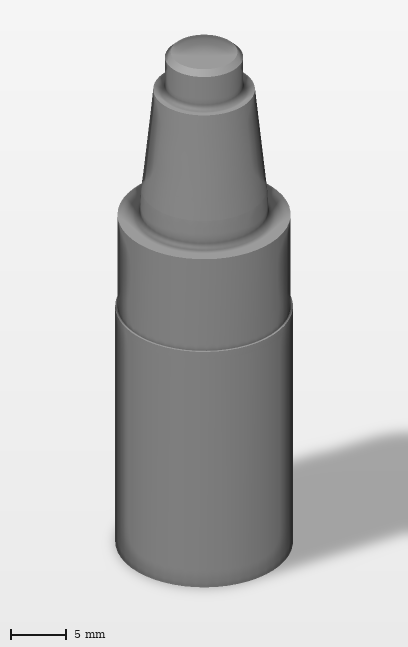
import cadquery as cq
import math

total_height = 51.1
barrel_radius = 15.9 / 2

barrel_top = 23.8
collar_top = 24.6
shank_top = 34.15
cone_base = 36.85
cone_top = 47.2

shank_radius = 15.5 / 2
cone_top_radius = 4.55
cone_base_radius = 5.6
tip_radius = 7.0 / 2

tip_chamfer = 0.5
root_fillet = 0.45


def quarter_arc_middle(radius, level):
    """Middle of the concave fillet that joins a cylinder to the flat face at this level."""
    offset = root_fillet * (1 - math.sqrt(0.5))
    return (radius + offset, level + offset)


def make_barrel():
    """Plain cylindrical lower body."""
    return cq.Workplane("XY").circle(barrel_radius).extrude(barrel_top)


def make_nose():
    """Turned upper body: collar, shank, tapered neck and chamfered tip."""
    flare_bottom = shank_top + root_fillet
    cone_angle = math.atan2(cone_base_radius - cone_top_radius, cone_top - cone_base)
    flare_radius = (cone_base - flare_bottom) / math.sin(cone_angle)
    neck_radius = cone_base_radius + flare_radius * (1 - math.cos(cone_angle))
    flare_middle = (
        neck_radius - flare_radius * (1 - math.cos(cone_angle / 2)),
        flare_bottom + flare_radius * math.sin(cone_angle / 2),
    )

    profile = (
        cq.Workplane("XZ")
        .moveTo(0, barrel_top)
        .lineTo(barrel_radius, barrel_top)
        .lineTo(barrel_radius, collar_top)
        .lineTo(shank_radius, collar_top)
        .lineTo(shank_radius, shank_top)
        .lineTo(neck_radius + root_fillet, shank_top)
        .threePointArc(quarter_arc_middle(neck_radius, shank_top), (neck_radius, flare_bottom))
        .threePointArc(flare_middle, (cone_base_radius, cone_base))
        .lineTo(cone_top_radius, cone_top)
        .lineTo(tip_radius + root_fillet, cone_top)
        .threePointArc(quarter_arc_middle(tip_radius, cone_top), (tip_radius, cone_top + root_fillet))
        .lineTo(tip_radius, total_height - tip_chamfer)
        .lineTo(tip_radius - tip_chamfer, total_height)
        .lineTo(0, total_height)
        .close()
    )
    return profile.revolve(360, (0, 0, 0), (0, 1, 0))


barrel = make_barrel()
nose = make_nose()

result = cq.Compound.makeCompound([barrel.val(), nose.val()])